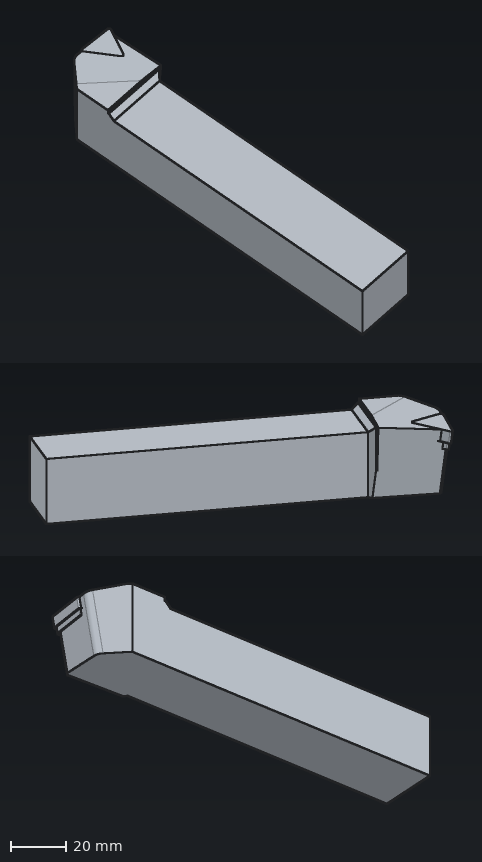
import cadquery as cq
import math

length = 150.0
shank_size = 25.0

head_height = 29.0
head_back = 27.3
neck_end = 30.2
ledge_width = 0.5
neck_rise = neck_end - head_back - ledge_width
head_reach = 31.5
tilt = 0.1
fold_x = 8.8

face_x = 0.6
corner_sum = 12.3
corner_radius = 5.0
nose_start_y = 28.8
nose_end = (1.5, 30.0)
flank_end_y = 29.0
prism_length = 75.0

insert_inradius = 4.8
insert_nose_radius = 0.8
insert_thickness = 4.8
insert_center_y = 23.8
seat_inset = 0.3
seat_center_y = 23.5
seat_thickness = 2.8

rake_plane = cq.Plane(
    origin=(0, 0, head_height - fold_x * tilt),
    xDir=(1 + tilt**2, tilt**2, tilt),
    normal=(-tilt, tilt, 1),
)


def rounded_triangle(inradius, center_y, thickness, depth):
    """Equilateral plate with one edge parallel to local Y, below the rake plane."""
    half_edge = math.sqrt(3) * inradius
    edge_x = insert_inradius - inradius
    return (
        cq.Workplane(rake_plane)
        .workplane(offset=-depth)
        .moveTo(edge_x, center_y - half_edge)
        .lineTo(insert_inradius + 2 * inradius, center_y)
        .lineTo(edge_x, center_y + half_edge)
        .close()
        .extrude(-thickness)
        .edges(cq.selectors.ParallelDirSelector(rake_plane.zDir))
        .fillet(insert_nose_radius)
    )


def make_head_prism():
    """Head outline swept square to the rake face, giving clearance on its sides."""
    tangent = corner_radius * math.tan(math.radians(22.5))
    diagonal = tangent / math.sqrt(2)
    corner_y = corner_sum - face_x
    arc_center = (face_x + corner_radius, corner_y + tangent)
    arc_angle = math.radians(22.5)
    arc_middle = (
        arc_center[0] - corner_radius * math.cos(arc_angle),
        arc_center[1] - corner_radius * math.sin(arc_angle),
    )
    flank_slope = (flank_end_y - nose_end[1]) / (head_back - nose_end[0])
    back_x = neck_end + neck_rise
    back_y = nose_end[1] + flank_slope * (back_x - nose_end[0])
    low_y = -head_height * tilt - neck_rise
    return (
        cq.Workplane(rake_plane)
        .moveTo(face_x, nose_start_y)
        .lineTo(face_x, corner_y + tangent)
        .threePointArc(arc_middle, (face_x + diagonal, corner_y - diagonal))
        .lineTo(corner_sum - low_y, low_y)
        .lineTo(back_x, low_y)
        .lineTo(back_x, back_y)
        .lineTo(*nose_end)
        .close()
        .extrude(-prism_length)
    )


def neck_profile(plane, full_size):
    """Full-size head stepping down to the shank through a narrow ledge and a 45 degree ramp."""
    return (
        cq.Workplane(plane)
        .lineTo(0, full_size)
        .lineTo(head_back, full_size)
        .lineTo(head_back, shank_size + neck_rise)
        .lineTo(head_back + ledge_width, shank_size + neck_rise)
        .lineTo(neck_end, shank_size)
        .lineTo(neck_end, 0)
        .close()
    )


def make_holder():
    side_limit = neck_profile("XZ", head_height).extrude(-head_reach)
    plan_limit = neck_profile("XY", head_reach).extrude(head_height)
    head = make_head_prism().intersect(side_limit).intersect(plan_limit)
    shank = (
        cq.Workplane("XY")
        .box(length - head_back, shank_size, shank_size, centered=False)
        .translate((head_back, 0, 0))
    )
    seat = rounded_triangle(insert_inradius - seat_inset, seat_center_y, seat_thickness, insert_thickness)
    return head.union(shank).union(seat)


insert = rounded_triangle(insert_inradius, insert_center_y, insert_thickness, depth=0)
holder = make_holder().cut(insert)

result = cq.Compound.makeCompound([holder.val(), insert.val()])